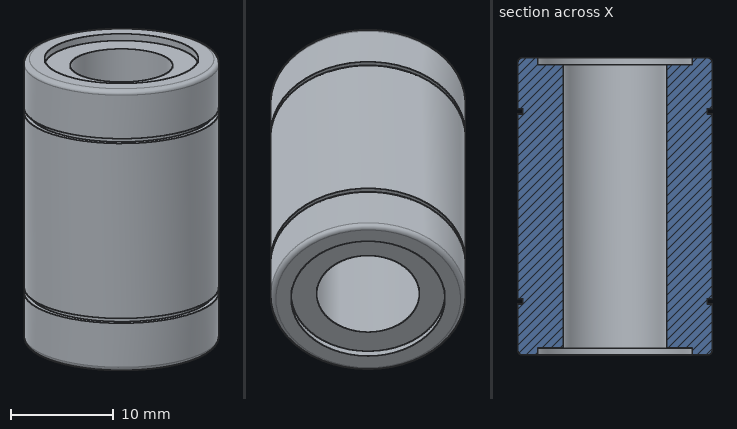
import cadquery as cq

outer_diameter = 19.0
length = 29.0
bore_diameter = 10.0
edge_radius = 0.5

groove_width = 0.5
groove_depth = 0.5
groove_outer_span = 19.0

recess_diameter = 15.0
recess_depth = 0.7


def make_sleeve():
    """Solid cylinder along Z, centred on the origin, with rounded end edges."""
    cylinder = cq.Workplane("XY").circle(outer_diameter / 2).extrude(length / 2, both=True)
    return cylinder.faces("<Z or >Z").edges().fillet(edge_radius)


def make_ring(outer, inner, bottom, height):
    """Flat ring on the Z axis that starts at the given bottom height."""
    return cq.Workplane("XY").workplane(offset=bottom).circle(outer / 2).circle(inner / 2).extrude(height)


def cut_bore(body):
    """Cut the through bore along the whole length."""
    bore = cq.Workplane("XY").circle(bore_diameter / 2).extrude(length / 2, both=True)
    return body.cut(bore)


def cut_grooves(body):
    """Cut one ring groove near each end of the outside surface."""
    groove_floor_diameter = outer_diameter - 2 * groove_depth
    cutter_diameter = outer_diameter + 2 * groove_depth
    lower_bottom = -groove_outer_span / 2
    upper_bottom = groove_outer_span / 2 - groove_width
    for bottom in (lower_bottom, upper_bottom):
        body = body.cut(make_ring(cutter_diameter, groove_floor_diameter, bottom, groove_width))
    return body


def cut_end_recesses(body):
    """Cut a shallow round recess into each end face."""
    for bottom in (-length / 2, length / 2 - recess_depth):
        recess = (
            cq.Workplane("XY")
            .workplane(offset=bottom)
            .circle(recess_diameter / 2)
            .extrude(recess_depth)
        )
        body = body.cut(recess)
    return body


result = make_sleeve()
result = cut_bore(result)
result = cut_grooves(result)
result = cut_end_recesses(result)